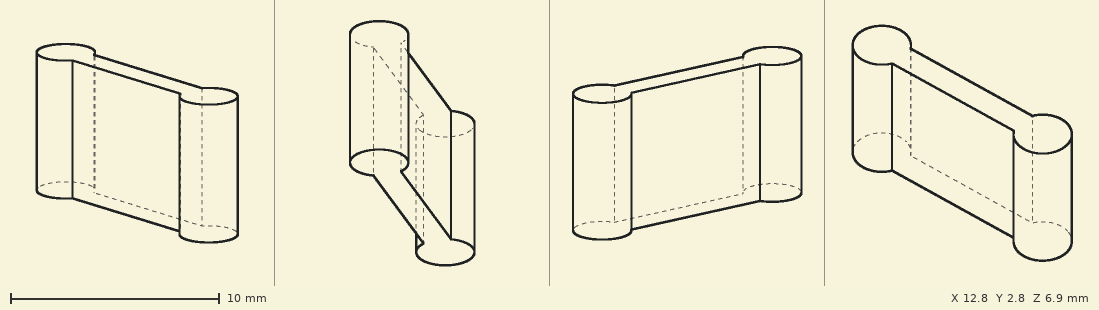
import cadquery as cq

length = 12.8
height = 6.9
end_diameter = 2.8
web_thickness = 1.4

end_spacing = length - end_diameter

web = cq.Workplane("XY").box(end_spacing, web_thickness, height, centered=(True, True, False))

columns = (
    cq.Workplane("XY")
    .pushPoints([(-end_spacing / 2, 0), (end_spacing / 2, 0)])
    .circle(end_diameter / 2)
    .extrude(height)
)

result = web.union(columns)